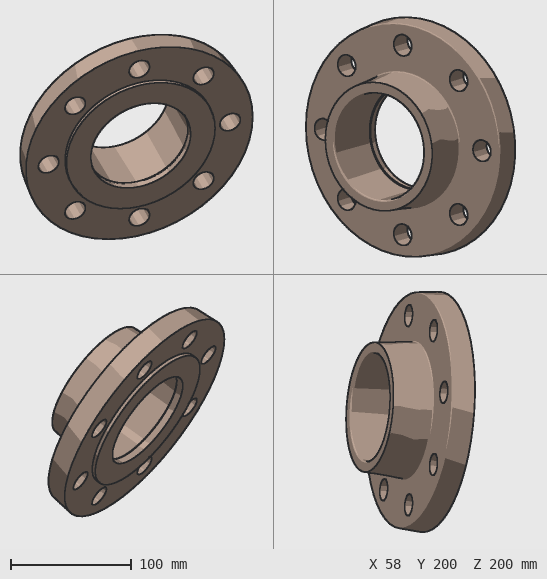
import cadquery as cq
import math

flange_front = 34.5
bore_shoulder = 51.2
flange_back = 54.5
overall_length = 58.0

flange_diameter = 200.0
raised_face_diameter = 131.0
neck_end_diameter = 108.0
neck_bore_diameter = 90.0
face_bore_diameter = 88.0

bolt_count = 8
bolt_circle_diameter = 160.0
bolt_hole_diameter = 18.0

draft_angle = 5.0

neck_root_fillet = 1.0
flange_rim_fillet = 1.0
mouth_fillet = 1.5

draft_slope = math.tan(math.radians(draft_angle))
flange_radius = flange_diameter / 2
neck_end_radius = neck_end_diameter / 2
neck_bore_radius = neck_bore_diameter / 2
raised_face_radius = raised_face_diameter / 2
neck_base_radius = neck_end_radius + flange_front * draft_slope
flange_front_radius = flange_radius - (flange_back - flange_front) * draft_slope


def circle_at(x, radius):
    """Select the circular edge around the X axis at the given station and radius."""
    margin = 0.2
    inside = radius - margin
    outside = radius + margin
    outer_box = cq.selectors.BoxSelector(
        (x - margin, -outside, -outside), (x + margin, outside, outside), boundingbox=True
    )
    inner_box = cq.selectors.BoxSelector(
        (x - margin, -inside, -inside), (x + margin, inside, inside), boundingbox=True
    )
    return outer_box - inner_box


def revolve_about_x(points):
    """Revolve a closed (x, radius) outline about the X axis."""
    return cq.Workplane("XY").polyline(points).close().revolve(360, (0, 0, 0), (1, 0, 0))


def make_body():
    """Drafted neck and flange with a raised sealing face, before boring."""
    body = revolve_about_x([
        (0, 0),
        (0, neck_end_radius),
        (flange_front, neck_base_radius),
        (flange_front, flange_front_radius),
        (flange_back, flange_radius),
        (flange_back, raised_face_radius),
        (overall_length, raised_face_radius),
        (overall_length, 0),
    ])
    body = body.edges(circle_at(flange_front, neck_base_radius)).fillet(neck_root_fillet)
    return body.edges(circle_at(flange_front, flange_front_radius)).fillet(flange_rim_fillet)


def bore(body):
    """Bore the neck, leaving a narrower lip at the sealing face, and round the mouth."""
    axis_plane = cq.Workplane("YZ")
    neck_bore = axis_plane.circle(neck_bore_radius).extrude(bore_shoulder)
    face_bore = axis_plane.circle(face_bore_diameter / 2).extrude(overall_length)
    bored = body.cut(neck_bore).cut(face_bore)
    return bored.edges(circle_at(0, neck_bore_radius)).fillet(mouth_fillet)


def make_bolt_holes():
    """Through holes evenly spaced on the bolt circle, one of them at the top."""
    return (
        cq.Workplane("YZ")
        .polarArray(bolt_circle_diameter / 2, 0, 360, bolt_count)
        .circle(bolt_hole_diameter / 2)
        .extrude(overall_length)
    )


result = bore(make_body()).cut(make_bolt_holes())